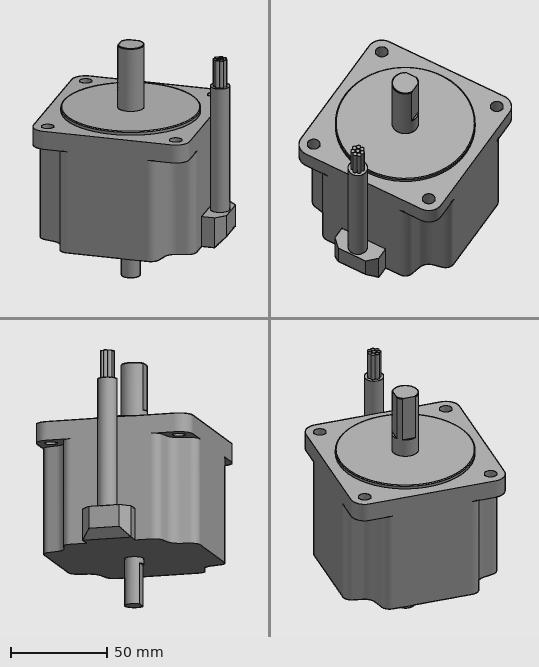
import cadquery as cq
import math

flange_side = 85.0
half_side = flange_side / 2
flange_height = 10.0
flange_corner_radius = 7.6
hole_offset = 34.8
hole_diameter = 6.5
pilot_diameter = 73.0
pilot_height = 2.0
pilot_chamfer = 0.5

body_height = 56.4
body_bottom = -flange_height - body_height
relief_radius = 6.8
relief_wall_angle = math.radians(13)
relief_lip_radius = 5.0

front_shaft_diameter = 14.0
front_shaft_length = 35.0
front_shaft_chamfer = 0.4
front_flat_length = 25.0
front_flat_depth = 1.0
rear_shaft_diameter = 10.0
rear_shaft_length = 25.0
rear_flat_length = 22.0
rear_flat_depth = 1.2

outlet_reach = 12.1
outlet_width = 26.5
outlet_height = 16.7
outlet_chamfer = 5.0
outlet_top = body_bottom + outlet_height
cable_x = 48.6
cable_diameter = 10.2
cable_length = 68.7
wire_diameter = 2.2
wire_length = 14.9
outer_wire_count = 7
wire_ring_radius = 2.6
wire_ring_start = -5
wire_embed = 1.3


def cylinder(diameter, bottom, height, x=0, y=0):
    return cq.Workplane("XY", origin=(x, y, bottom)).circle(diameter / 2).extrude(height)


def make_flange():
    plate = cq.Workplane("XY").rect(flange_side, flange_side).extrude(-flange_height)
    plate = plate.edges("|Z").fillet(flange_corner_radius)
    pilot = cylinder(pilot_diameter, 0, pilot_height).faces(">Z").chamfer(pilot_chamfer)
    return plate.union(pilot)


def make_corner_relief():
    """Flared relief for the +X +Y corner, rounded around the screw axis."""
    sine = math.sin(relief_wall_angle)
    cosine = math.cos(relief_wall_angle)

    wall_inner = (hole_offset - relief_radius * cosine, hole_offset - relief_radius * sine)
    wall_outer_y = half_side - relief_lip_radius * (1 - sine)
    wall_outer_x = wall_inner[0] - math.tan(relief_wall_angle) * (wall_outer_y - wall_inner[1])
    wall_outer = (wall_outer_x, wall_outer_y)
    lip_center = (wall_outer_x - relief_lip_radius * cosine, half_side - relief_lip_radius)
    lip_end = (lip_center[0], half_side)
    lip_middle_angle = (relief_wall_angle + math.pi / 2) / 2
    lip_middle = (
        lip_center[0] + relief_lip_radius * math.cos(lip_middle_angle),
        lip_center[1] + relief_lip_radius * math.sin(lip_middle_angle),
    )
    deepest = hole_offset - relief_radius * math.cos(math.pi / 4)

    def mirrored(point):
        return point[1], point[0]

    outline = (
        cq.Workplane("XY", origin=(0, 0, body_bottom))
        .moveTo(*lip_end)
        .threePointArc(lip_middle, wall_outer)
        .lineTo(*wall_inner)
        .threePointArc((deepest, deepest), mirrored(wall_inner))
        .lineTo(*mirrored(wall_outer))
        .threePointArc(mirrored(lip_middle), mirrored(lip_end))
        .lineTo(half_side, half_side)
        .close()
    )
    return outline.extrude(body_height)


def make_body():
    body = cq.Workplane("XY", origin=(0, 0, body_bottom)).rect(flange_side, flange_side).extrude(body_height)
    relief = make_corner_relief()
    for angle in (0, 90, 180, 270):
        body = body.cut(relief.rotate((0, 0, 0), (0, 0, 1), angle))
    return body


def flat_cutter(diameter, depth, bottom, length):
    """Block that leaves a flat on the +Y side of a shaft."""
    return (
        cq.Workplane("XY", origin=(0, diameter / 2 - depth, bottom))
        .rect(diameter, 2 * depth)
        .extrude(length)
        .translate((0, depth, 0))
    )


def make_front_shaft():
    shaft_top = pilot_height + front_shaft_length
    shaft = cylinder(front_shaft_diameter, 0, shaft_top).faces(">Z").chamfer(front_shaft_chamfer)
    cutter = flat_cutter(
        front_shaft_diameter, front_flat_depth, shaft_top - front_flat_length, front_flat_length
    )
    return shaft.cut(cutter).cut(cutter.rotate((0, 0, 0), (0, 0, 1), 90))


def make_rear_shaft():
    shaft_bottom = body_bottom - rear_shaft_length
    shaft = cylinder(rear_shaft_diameter, shaft_bottom, rear_shaft_length)
    return shaft.cut(flat_cutter(rear_shaft_diameter, rear_flat_depth, shaft_bottom, rear_flat_length))


def make_cable_outlet():
    outlet = cq.Workplane("XY").box(outlet_reach, outlet_width, outlet_height, centered=(False, True, False))
    outlet = outlet.edges(">X and (|Z or <Z)").chamfer(outlet_chamfer)
    return outlet.translate((half_side, 0, body_bottom))


def make_cable():
    cable = cylinder(cable_diameter, outlet_top, cable_length, cable_x)
    wire_bottom = outlet_top + cable_length - wire_embed
    wire_height = wire_length + wire_embed
    cable = cable.union(cylinder(wire_diameter, wire_bottom, wire_height, cable_x))
    for index in range(outer_wire_count):
        angle = math.radians(wire_ring_start + index * 360 / outer_wire_count)
        wire_x = cable_x + wire_ring_radius * math.cos(angle)
        wire_y = wire_ring_radius * math.sin(angle)
        cable = cable.union(cylinder(wire_diameter, wire_bottom, wire_height, wire_x, wire_y))
    return cable


result = make_flange().union(make_body())
for x_side in (-1, 1):
    for y_side in (-1, 1):
        hole = cylinder(hole_diameter, -flange_height, flange_height, x_side * hole_offset, y_side * hole_offset)
        result = result.cut(hole)
result = result.union(make_front_shaft()).union(make_rear_shaft())
result = result.union(make_cable_outlet()).union(make_cable())